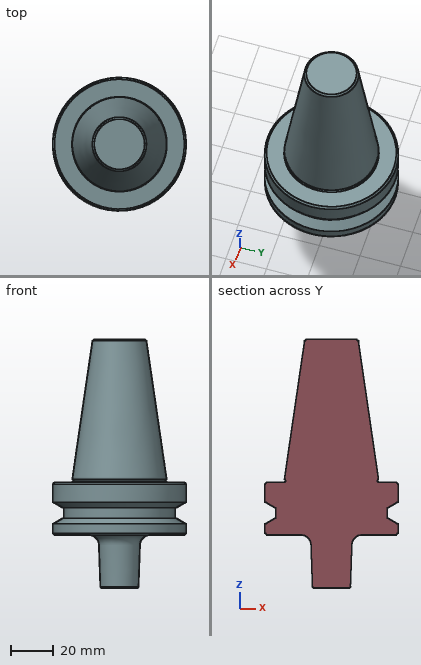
import cadquery as cq
import math

total_height = 117.4

nose_end_radius = 9.0
nose_half_angle = math.radians(2.0)
nose_end_chamfer = 0.6
nose_fillet_radius = 4.7

flange_radius = 31.52
flange_bottom = 25.0
flange_top = 50.0
flange_chamfer = 0.9
groove_center = 35.5
groove_mouth_width = 10.3
groove_floor_width = 4.9
groove_floor_radius = 26.4
groove_wall_angle = math.radians(30.0)

taper_ratio = 7 / 24
gauge_radius = 22.2
gauge_height = 52.1
gauge_land_height = 0.7
shank_end_chamfer = 0.8

relief_radius = 21.7
relief_height = 50.5
relief_foot_radius = 22.4


def nose_radius(height):
    return nose_end_radius + height * math.tan(nose_half_angle)


def shank_radius(height):
    return gauge_radius - (height - gauge_height) * taper_ratio / 2


fillet_center_z = flange_bottom - nose_fillet_radius
fillet_center_r = nose_radius(fillet_center_z) + nose_fillet_radius / math.cos(nose_half_angle)


def fillet_point(angle):
    """Point on the fillet; zero angle is level with its center, on the nose side."""
    return (
        fillet_center_r - nose_fillet_radius * math.cos(angle),
        fillet_center_z + nose_fillet_radius * math.sin(angle),
    )


fillet_start_angle = nose_half_angle
fillet_end_angle = math.pi / 2
fillet_mid_angle = (fillet_start_angle + fillet_end_angle) / 2

groove_wall_depth = (groove_mouth_width - groove_floor_width) / 2 / math.tan(groove_wall_angle)
groove_wall_radius = flange_radius - groove_wall_depth
groove_floor_bottom = groove_center - groove_floor_width / 2
groove_floor_top = groove_center + groove_floor_width / 2
groove_mouth_bottom = groove_center - groove_mouth_width / 2
groove_mouth_top = groove_center + groove_mouth_width / 2

shank_chamfer_z = total_height - shank_end_chamfer

profile = (
    cq.Workplane("XZ")
    .lineTo(nose_end_radius - nose_end_chamfer, 0)
    .lineTo(nose_radius(nose_end_chamfer), nose_end_chamfer)
    .lineTo(*fillet_point(fillet_start_angle))
    .threePointArc(fillet_point(fillet_mid_angle), fillet_point(fillet_end_angle))
    .lineTo(flange_radius - flange_chamfer, flange_bottom)
    .lineTo(flange_radius, flange_bottom + flange_chamfer)
    .lineTo(flange_radius, groove_mouth_bottom)
    .lineTo(groove_wall_radius, groove_floor_bottom)
    .lineTo(groove_floor_radius, groove_floor_bottom)
    .lineTo(groove_floor_radius, groove_floor_top)
    .lineTo(groove_wall_radius, groove_floor_top)
    .lineTo(flange_radius, groove_mouth_top)
    .lineTo(flange_radius, flange_top - flange_chamfer)
    .lineTo(flange_radius - flange_chamfer, flange_top)
    .lineTo(relief_foot_radius, flange_top)
    .lineTo(relief_radius, relief_height)
    .lineTo(gauge_radius, gauge_height - gauge_land_height)
    .lineTo(gauge_radius, gauge_height)
    .lineTo(shank_radius(shank_chamfer_z), shank_chamfer_z)
    .lineTo(shank_radius(total_height) - shank_end_chamfer, total_height)
    .lineTo(0, total_height)
    .close()
)

result = profile.revolve(360, (0, 0, 0), (0, 1, 0))